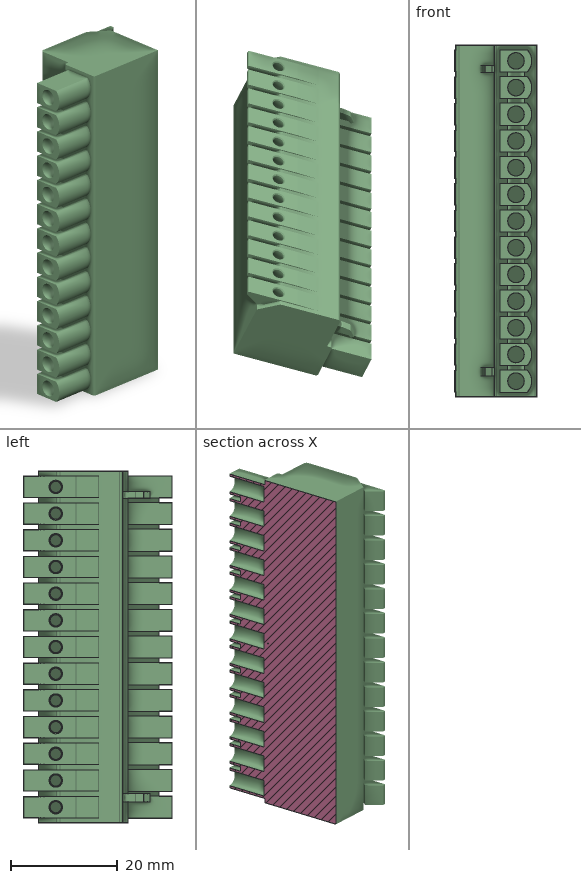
import cadquery as cq
import math

poles = 13
pitch = 5.0
body_height = 65.88
first_pole_z = (body_height - (poles - 1) * pitch) / 2

body_left = 0.2
body_right = 15.42
body_back = 25.05
body_front = 9.3
step_x = 7.47
step_front = 8.25
back_chamfer_x = 2.8
back_chamfer_y = 3.7
back_edge_radius = 1.0
front_left_radius = 0.6
step_edge_radius = 0.4
step_root_radius = 0.15

plug_left = 8.55
plug_height = 4.15
plug_side = 13.6
plug_right = 14.45
bore_x = 11.5
bore_diameter = 3.1
bore_depth = 8.0
web_width = bore_diameter
web_front = 2.45

lever_height = 4.0
lever_back = 27.87
lever_knee = 18.03
lever_end = 13.8
lever_tip_width = 0.75
lever_tip_radius = 0.2
lever_barb_x = 2.65
lever_barb_y = 25.1
lever_notch_x = 2.2
lever_inner_y = 22.0
lever_hole_y = 21.8
lever_hole_diameter = 2.1
lever_hole_rim_diameter = 2.5
lever_hole_depth = 5.0

latch_left = 5.35
latch_right = 7.0
latch_root_radius = 0.45
latch_overlap = 0.5
latch_hook = [
    (5.4, 6.85),
    (5.65, 5.4),
    (5.8, 5.15),
    (7.0, 4.1),
    (7.45, 4.6),
    (latch_right, 5.25),
]
latch_spans = ((3.95, 1.55), (60.8, 1.25))


def prism(outline, bottom, height):
    """Extrude a closed XY outline upward from Z = bottom."""
    return cq.Workplane("XY").workplane(offset=bottom).polyline(outline).close().extrude(height)


def round_edge(solid, x, y, radius):
    """Round the edge parallel to Z that stands at (x, y)."""
    edge = cq.selectors.NearestToPointSelector((x, y, body_height / 2))
    return solid.edges("|Z").edges(edge).fillet(radius)


def make_body():
    corner_y = body_back - back_chamfer_y
    outline = [
        (body_left, body_front),
        (step_x, body_front),
        (step_x, step_front),
        (body_right, step_front),
        (body_right, body_back),
        (body_left + back_chamfer_x, body_back),
        (body_left, corner_y),
    ]
    body = prism(outline, 0, body_height)
    body = round_edge(body, body_left, corner_y, back_edge_radius)
    body = round_edge(body, body_left, body_front, front_left_radius)
    body = round_edge(body, step_x, body_front, step_root_radius)
    body = round_edge(body, step_x, step_front, step_edge_radius)
    return round_edge(body, body_right, step_front, step_edge_radius)


def make_plug(z):
    """Square-backed plug with one round side, running from Y = 0 into the housing."""
    half = plug_height / 2
    return (
        cq.Workplane("XZ")
        .moveTo(plug_left, z - half)
        .lineTo(plug_side, z - half)
        .threePointArc((plug_right, z), (plug_side, z + half))
        .lineTo(plug_left, z + half)
        .close()
        .extrude(-body_front)
    )


def make_bore(z):
    return cq.Workplane("XZ").center(bore_x, z).circle(bore_diameter / 2).extrude(-bore_depth)


def make_webs():
    """Narrow strip that joins neighbouring plugs."""
    length = (poles - 1) * pitch
    return cq.Workplane("XY").box(
        web_width, body_front - web_front, length, centered=(True, False, False)
    ).translate((bore_x, web_front, first_pole_z))


def make_lever(z):
    """Release lever: a thin plate on the -X side with a hooked free end behind the housing."""
    outline = [
        (0, lever_back),
        (lever_tip_width, lever_back),
        (lever_barb_x, lever_barb_y),
        (lever_notch_x, lever_barb_y - (lever_barb_x - lever_notch_x)),
        (lever_notch_x, lever_inner_y),
        (body_left, lever_end),
        (0, lever_knee),
    ]
    lever = prism(outline, z - lever_height / 2, lever_height)
    return round_edge(lever, 0, lever_back, lever_tip_radius)


def make_lever_hole(z):
    """Blind hole with a chamfered rim, entering from the -X side."""
    chamfer = (lever_hole_rim_diameter - lever_hole_diameter) / 2
    plane = cq.Workplane("YZ").center(lever_hole_y, z)
    rim = plane.circle(lever_hole_rim_diameter / 2).workplane(offset=chamfer)
    rim = rim.circle(lever_hole_diameter / 2).loft()
    return plane.circle(lever_hole_diameter / 2).extrude(lever_hole_depth).union(rim)


def make_latch(bottom, height):
    """Hooked finger on the front of the housing, with a rounded root on its -X side."""
    root_y = body_front - latch_root_radius
    root_x = latch_left - latch_root_radius
    arc_shift = latch_root_radius * math.sqrt(0.5)
    return (
        cq.Workplane("XY")
        .workplane(offset=bottom)
        .moveTo(latch_right, body_front + latch_overlap)
        .lineTo(root_x, body_front + latch_overlap)
        .lineTo(root_x, body_front)
        .threePointArc((root_x + arc_shift, root_y + arc_shift), (latch_left, root_y))
        .polyline(latch_hook, includeCurrent=True)
        .close()
        .extrude(height)
    )


pole_heights = [first_pole_z + i * pitch for i in range(poles)]

result = make_body().union(make_webs())
for z in pole_heights:
    result = result.union(make_plug(z)).union(make_lever(z))
for bottom, height in latch_spans:
    result = result.union(make_latch(bottom, height))
for z in pole_heights:
    result = result.cut(make_bore(z)).cut(make_lever_hole(z))